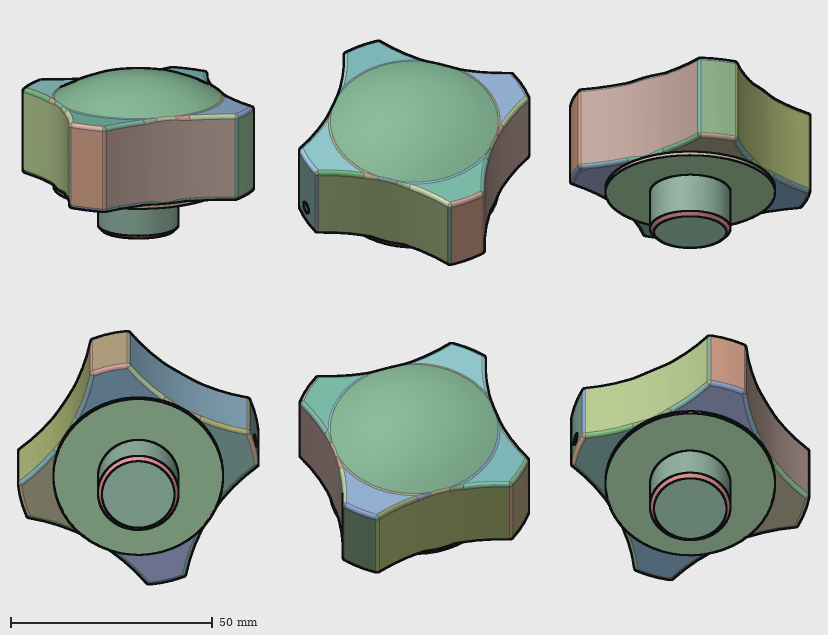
import cadquery as cq
import math

COLLAR_BOTTOM = 11.0
BODY_BOTTOM = 12.0
BODY_TOP = 34.0
TOTAL_HEIGHT = 40.0

BODY_RADIUS = 30.0
LOBE_COUNT = 4
FLUTE_RADIUS = 48.0
FLUTE_CLEARANCE = 0.05
EDGE_RADIUS = 1.0

COLLAR_RADIUS = 21.05
SHAFT_RADIUS = 10.0
SHAFT_CHAMFER = 1.0

DOME_RADIUS = 40.0
ROOT_RADIUS = 1.0

MARKER_DIAMETER = 3.0
MARKER_HEIGHT = 17.2
MARKER_DEPTH = 0.1

DOME_CENTER_Z = TOTAL_HEIGHT - DOME_RADIUS
ROOT_REACH = DOME_RADIUS + ROOT_RADIUS
ROOT_CENTER_Z = BODY_TOP + ROOT_RADIUS
ROOT_ANGLE = math.acos((ROOT_CENTER_Z - DOME_CENTER_Z) / ROOT_REACH)
ROOT_OUTER_RADIUS = ROOT_REACH * math.sin(ROOT_ANGLE)


def lobed_prism(height):
    """Cylinder on the body underside with a concave flute between each pair of lobes."""
    base = cq.Workplane("XY").workplane(offset=BODY_BOTTOM)
    flute_center = COLLAR_RADIUS + FLUTE_CLEARANCE + FLUTE_RADIUS
    half_pitch = 180 / LOBE_COUNT
    flutes = (
        base.polarArray(flute_center, half_pitch, 360, LOBE_COUNT)
        .circle(FLUTE_RADIUS)
        .extrude(height)
    )
    return base.circle(BODY_RADIUS).extrude(height).cut(flutes)


def dome_point(angle):
    """Point (radius, height) on the dome at an angle from its top."""
    return DOME_RADIUS * math.sin(angle), DOME_CENTER_Z + DOME_RADIUS * math.cos(angle)


def root_point(angle):
    """Point (radius, height) on the concave round at an angle from its lowest point."""
    radius = ROOT_OUTER_RADIUS - ROOT_RADIUS * math.sin(angle)
    return radius, ROOT_CENTER_Z - ROOT_RADIUS * math.cos(angle)


def dome():
    """Spherical dome with a concave root, trimmed where the root overhangs the flutes."""
    cap = (
        cq.Workplane("XZ")
        .moveTo(0, BODY_TOP)
        .lineTo(ROOT_OUTER_RADIUS, BODY_TOP)
        .threePointArc(root_point(ROOT_ANGLE / 2), root_point(ROOT_ANGLE))
        .threePointArc(dome_point(ROOT_ANGLE / 2), (0, TOTAL_HEIGHT))
        .close()
        .revolve(360, (0, 0), (0, 1))
    )
    return cap.intersect(lobed_prism(TOTAL_HEIGHT - BODY_BOTTOM))


def collar_and_shaft():
    """Flat round collar with a chamfered shaft below it."""
    shaft = cq.Workplane("XY").circle(SHAFT_RADIUS).extrude(COLLAR_BOTTOM)
    shaft = shaft.faces("<Z").chamfer(SHAFT_CHAMFER)
    collar = (
        cq.Workplane("XY").workplane(offset=COLLAR_BOTTOM)
        .circle(COLLAR_RADIUS)
        .extrude(BODY_BOTTOM - COLLAR_BOTTOM)
    )
    return collar.union(shaft)


def round_lobe_edges(part):
    """Round the lobe corners and both rims, which all lie outside the dome root."""
    lobe_edges = []
    for edge in part.edges().vals():
        center = edge.Center()
        if math.hypot(center.x, center.y) > ROOT_OUTER_RADIUS:
            lobe_edges.append(edge)
    return part.newObject(lobe_edges).fillet(EDGE_RADIUS)


def marker_recess():
    """Disc that cuts the marker into the -X lobe."""
    return (
        cq.Workplane("YZ").workplane(offset=-BODY_RADIUS)
        .center(0, MARKER_HEIGHT)
        .circle(MARKER_DIAMETER / 2)
        .extrude(MARKER_DEPTH)
    )


body = lobed_prism(BODY_TOP - BODY_BOTTOM)
knob = round_lobe_edges(body.union(collar_and_shaft()).union(dome()))
result = knob.cut(marker_recess())